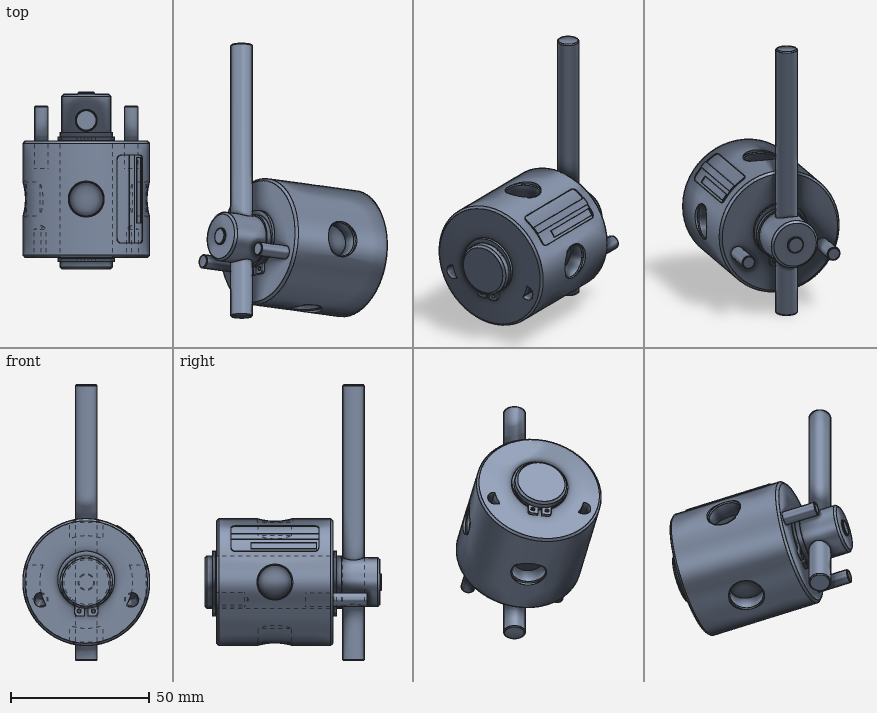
import cadquery as cq
import math


HOUSING_RADIUS = 23.0
HOUSING_LENGTH = 42.2
FRONT_CHAMFER = 0.8
BACK_CHAMFER = 0.9
CORE_RADIUS = 16.8

PORT_DIAMETER = 12.2
PORT_MOUTH_DIAMETER = 13.0
PORT_Y = HOUSING_LENGTH / 2
PORT_CHAMFER_DEPTH = (PORT_MOUTH_DIAMETER - PORT_DIAMETER) / 2
PORT_ANGLES = (0, 90, 180, 270)

PIN_DIAMETER = 4.9
PIN_X = 16.3
PIN_Z = -6.4
PIN_PROJECTION = 12.6
PIN_SOCKET_DEPTH = 10.0
PIN_CHAMFER = 0.3
FRONT_HOLE_DIAMETER = 5.3
FRONT_HOLE_DEPTH = 10.0
DRILL_POINT_ANGLE = 118.0

PLATE_ANGLE = 45.0
PLATE_SPAN = 32.4
PLATE_LENGTH = 31.8
PLATE_HEIGHT = 0.3
PLATE_CORNER_RADIUS = 1.6
BAND_SPAN = 6.6
BAND_HEIGHT = 0.2
PANEL_ANGLE = 34.6
PANEL_SPAN = 6.6
PANEL_LENGTH = 23.8
PANEL_Y = 24.3
PANEL_DEPTH = 0.2

SHAFT_RADIUS = 9.5
SHAFT_FRONT_Y = -4.3
SHAFT_SHOULDER_Y = 45.2
SHAFT_FRONT_CHAMFER = 0.8
NECK_RADIUS = 8.9
NECK_END_Y = 59.1
NECK_CHAMFER = 0.8
BUTTON_RADIUS = 3.0
BUTTON_HEIGHT = 0.7
BUTTON_CHAMFER = 0.3

RING_THICKNESS = 1.1
FRONT_RING_GAP = 0.4
BACK_RING_GAP = 0.2
RING_OUTER_RADIUS = 10.3
RING_OFFSET = 0.9
GROOVE_RADIUS = 9.0
LUG_OUTER_X = 4.2
LUG_INNER_X = 0.7
LUG_BOTTOM_Z = -12.3
LUG_CORNER_RADIUS = 1.1
LUG_ROOT_RADIUS = 1.5
LUG_HOLE_DIAMETER = 1.4
LUG_HOLE_X = 2.6
LUG_HOLE_Z = -10.5
RING_FRONT_Y = -FRONT_RING_GAP - RING_THICKNESS
RING_BACK_Y = HOUSING_LENGTH + BACK_RING_GAP

HANDLE_DIAMETER = 7.9
HANDLE_LENGTH = 100.0
HANDLE_BOTTOM_Z = -28.5
HANDLE_Y = 49.6
HANDLE_CHAMFER = 0.4


def rod_along_y(radius, start_y, length, x=0.0, z=0.0):
    """Plain cylinder parallel to Y."""
    return cq.Workplane("XZ", origin=(x, start_y, z)).circle(radius).extrude(-length)


def shell_block(inner_radius, outer_radius, angle, span, start_y, length):
    """Curved slab about the Y axis, centred on `angle` degrees above +X."""
    def at(radius, degrees):
        turn = math.radians(degrees)
        return (radius * math.cos(turn), radius * math.sin(turn))

    low = angle - span / 2
    high = angle + span / 2
    return (
        cq.Workplane("XZ", origin=(0, start_y, 0))
        .moveTo(*at(inner_radius, low))
        .lineTo(*at(outer_radius, low))
        .threePointArc(at(outer_radius, angle), at(outer_radius, high))
        .lineTo(*at(inner_radius, high))
        .threePointArc(at(inner_radius, angle), at(inner_radius, low))
        .close()
        .extrude(-length)
    )


def port_cutter(angle):
    """Port drilled in from the housing surface, with a chamfered mouth that follows the surface dip."""
    mouth_radius = PORT_MOUTH_DIAMETER / 2
    bore_radius = PORT_DIAMETER / 2
    mouth_z = math.sqrt(HOUSING_RADIUS**2 - mouth_radius**2)
    profile = [
        (0, 0),
        (bore_radius, 0),
        (bore_radius, mouth_z - PORT_CHAMFER_DEPTH),
        (mouth_radius, mouth_z),
        (mouth_radius, HOUSING_RADIUS),
        (0, HOUSING_RADIUS),
    ]
    port = cq.Workplane("XZ").polyline(profile).close().revolve(360, (0, 0, 0), (0, 1, 0))
    return port.translate((0, PORT_Y, 0)).rotate((0, 0, 0), (0, 1, 0), angle)


def front_hole_cutter(x):
    """Blind drilled hole with a conical tip, entering from the front face."""
    radius = FRONT_HOLE_DIAMETER / 2
    tip_length = radius / math.tan(math.radians(DRILL_POINT_ANGLE / 2))
    profile = [
        (0, 0),
        (radius, 0),
        (radius, FRONT_HOLE_DEPTH),
        (0, FRONT_HOLE_DEPTH + tip_length),
    ]
    hole = cq.Workplane("XY").polyline(profile).close().revolve(360, (0, 0, 0), (0, 1, 0))
    return hole.translate((x, 0, PIN_Z))


def make_name_plate():
    """Curved plate with rounded corners, a raised middle band and a recessed panel."""
    plate_radius = HOUSING_RADIUS + PLATE_HEIGHT
    base_radius = HOUSING_RADIUS - PLATE_HEIGHT
    plate_y = PORT_Y - PLATE_LENGTH / 2
    plate = shell_block(base_radius, plate_radius, PLATE_ANGLE, PLATE_SPAN, plate_y, PLATE_LENGTH)
    plate = plate.edges("not(|Y or %CIRCLE)").fillet(PLATE_CORNER_RADIUS)
    band = shell_block(
        base_radius, plate_radius + BAND_HEIGHT, PLATE_ANGLE, BAND_SPAN, plate_y, PLATE_LENGTH
    )
    panel = shell_block(
        plate_radius - PANEL_DEPTH,
        plate_radius + BAND_HEIGHT,
        PANEL_ANGLE,
        PANEL_SPAN,
        PANEL_Y - PANEL_LENGTH / 2,
        PANEL_LENGTH,
    )
    return plate.union(band).cut(panel)


def make_housing():
    body = rod_along_y(HOUSING_RADIUS, 0, HOUSING_LENGTH)
    body = body.faces("<Y").chamfer(FRONT_CHAMFER)
    body = body.faces(">Y").chamfer(BACK_CHAMFER)

    core = rod_along_y(CORE_RADIUS, 0, HOUSING_LENGTH)
    for angle in PORT_ANGLES:
        body = body.cut(port_cutter(angle).cut(core))
    for x in (-PIN_X, PIN_X):
        body = body.cut(front_hole_cutter(x).cut(core))

    body = body.union(make_name_plate())

    body = body.cut(rod_along_y(SHAFT_RADIUS, 0, HOUSING_LENGTH))
    for x in (-PIN_X, PIN_X):
        socket_y = HOUSING_LENGTH - PIN_SOCKET_DEPTH
        body = body.cut(rod_along_y(PIN_DIAMETER / 2, socket_y, PIN_SOCKET_DEPTH, x, PIN_Z))
    return body


def make_shaft():
    button_end_y = NECK_END_Y + BUTTON_HEIGHT
    profile = [
        (0, SHAFT_FRONT_Y),
        (SHAFT_RADIUS - SHAFT_FRONT_CHAMFER, SHAFT_FRONT_Y),
        (SHAFT_RADIUS, SHAFT_FRONT_Y + SHAFT_FRONT_CHAMFER),
        (SHAFT_RADIUS, SHAFT_SHOULDER_Y),
        (NECK_RADIUS, SHAFT_SHOULDER_Y),
        (NECK_RADIUS, NECK_END_Y - NECK_CHAMFER),
        (NECK_RADIUS - NECK_CHAMFER, NECK_END_Y),
        (BUTTON_RADIUS, NECK_END_Y),
        (BUTTON_RADIUS, button_end_y - BUTTON_CHAMFER),
        (BUTTON_RADIUS - BUTTON_CHAMFER, button_end_y),
        (0, button_end_y),
    ]
    shaft = cq.Workplane("XY").polyline(profile).close().revolve(360, (0, 0, 0), (0, 1, 0))

    for ring_y in (RING_FRONT_Y, RING_BACK_Y):
        groove = rod_along_y(SHAFT_RADIUS, ring_y, RING_THICKNESS)
        shaft = shaft.cut(groove.cut(rod_along_y(GROOVE_RADIUS, ring_y, RING_THICKNESS)))

    cross_hole = (
        cq.Workplane("XY", origin=(0, HANDLE_Y, -NECK_RADIUS))
        .circle(HANDLE_DIAMETER / 2)
        .extrude(2 * NECK_RADIUS)
    )
    return shaft.cut(cross_hole)


def make_handle():
    return (
        cq.Workplane("XY", origin=(0, HANDLE_Y, HANDLE_BOTTOM_Z))
        .circle(HANDLE_DIAMETER / 2)
        .extrude(HANDLE_LENGTH)
        .faces("<Z or >Z")
        .chamfer(HANDLE_CHAMFER)
    )


def make_stop_pin(x):
    start_y = HOUSING_LENGTH - PIN_SOCKET_DEPTH
    pin = rod_along_y(PIN_DIAMETER / 2, start_y, PIN_SOCKET_DEPTH + PIN_PROJECTION, x, PIN_Z)
    return pin.faces(">Y").chamfer(PIN_CHAMFER)


def make_retaining_ring(start_y):
    """Open ring with a tapering section and two lugs at the bottom."""
    lug_block = (
        cq.Workplane("XZ", origin=(0, start_y, 0))
        .center(0, LUG_BOTTOM_Z / 2)
        .rect(2 * LUG_OUTER_X, -LUG_BOTTOM_Z)
        .extrude(-RING_THICKNESS)
        .edges("|Y and <Z")
        .fillet(LUG_CORNER_RADIUS)
    )
    ring = rod_along_y(RING_OUTER_RADIUS, start_y, RING_THICKNESS, z=RING_OFFSET).union(lug_block)
    margin = RING_THICKNESS
    roots = cq.selectors.BoxSelector(
        (-LUG_OUTER_X - margin, start_y - margin, -RING_OUTER_RADIUS),
        (LUG_OUTER_X + margin, start_y + RING_THICKNESS + margin, -GROOVE_RADIUS / 2),
    )
    ring = ring.edges("|Y").edges(roots).fillet(LUG_ROOT_RADIUS)
    ring = ring.cut(rod_along_y(GROOVE_RADIUS, start_y, RING_THICKNESS))

    gap = (
        cq.Workplane("XZ", origin=(0, start_y, 0))
        .center(0, LUG_BOTTOM_Z / 2)
        .rect(2 * LUG_INNER_X, -LUG_BOTTOM_Z)
        .extrude(-RING_THICKNESS)
    )
    ring = ring.cut(gap)
    for x in (-LUG_HOLE_X, LUG_HOLE_X):
        ring = ring.cut(rod_along_y(LUG_HOLE_DIAMETER / 2, start_y, RING_THICKNESS, x, LUG_HOLE_Z))
    return ring


housing = make_housing()
shaft = make_shaft()
handle = make_handle()
stop_pins = [make_stop_pin(x) for x in (-PIN_X, PIN_X)]
retaining_rings = [make_retaining_ring(y) for y in (RING_FRONT_Y, RING_BACK_Y)]

result = cq.Compound.makeCompound([
    housing.val(),
    shaft.val(),
    handle.val(),
    *[pin.val() for pin in stop_pins],
    *[ring.val() for ring in retaining_rings],
])